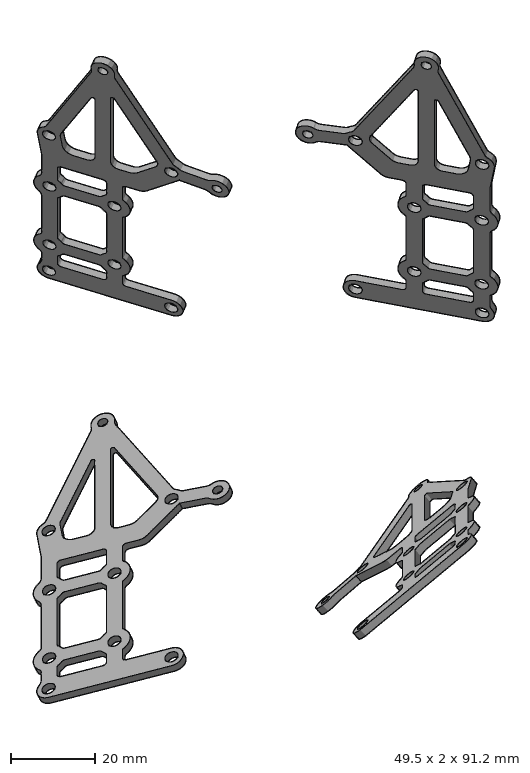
import cadquery as cq
import math

THICKNESS = 2.0
SCREW_HOLE = 3.3
SMALL_HOLE = 2.5

PAD_RADIUS = 3.0
BOSS_RADIUS = 4.0

LINK_WIDTH = 4.0
BEAM_WIDTH = 2 * PAD_RADIUS

RAIL_FILLET = 1.0
PAD_NECK_FILLET = 2.0
UPPER_BOSS_FILLET = 2.0
FOOT_FILLET = 3.0
POCKET_FILLET = 2.0
WIDE_POCKET_FILLET = 3.0
TIP_FILLET = 0.5

FOOT_SPAN = 31.0
SHOULDER_HEIGHT = 53.4
FOOT_LEFT = (0.0, 0.0)
FOOT_RIGHT = (FOOT_SPAN, 0.0)
SHOULDER_LEFT = (0.0, SHOULDER_HEIGHT)
SHOULDER_RIGHT = (FOOT_SPAN, SHOULDER_HEIGHT)
PEAK = (13.65, 85.19)
ARM_END = (42.65, 52.4)

RAIL_SPACING = 16.5
RAIL_LEFT_X = 0.11
RAIL_RIGHT_X = RAIL_LEFT_X + RAIL_SPACING
BOSS_SPACING = 23.0
BOSS_LOW_Z = 10.28
BOSS_HIGH_Z = BOSS_LOW_Z + BOSS_SPACING
BOSSES = [(x, z) for x in (RAIL_LEFT_X, RAIL_RIGHT_X) for z in (BOSS_LOW_Z, BOSS_HIGH_Z)]

BEAM_ABOVE_BOSSES = 12.05
BEAM_Z = BOSS_HIGH_Z + BEAM_ABOVE_BOSSES
BEAM_LEFT = (RAIL_LEFT_X - LINK_WIDTH / 2 + BEAM_WIDTH / 2, BEAM_Z)
BEAM_TURN_X = 22.75
BEAM_RIGHT = (BEAM_TURN_X, BEAM_Z)


def disc(center, radius):
    """Round slice of the plate."""
    return cq.Workplane("XZ").center(*center).circle(radius).extrude(-THICKNESS)


def link(start, end, width):
    """Straight square-ended member whose centre line joins two points."""
    dx = end[0] - start[0]
    dz = end[1] - start[1]
    length = math.hypot(dx, dz)
    across = (-dz / length * width / 2, dx / length * width / 2)
    corners = [
        (start[0] + across[0], start[1] + across[1]),
        (end[0] + across[0], end[1] + across[1]),
        (end[0] - across[0], end[1] - across[1]),
        (start[0] - across[0], start[1] - across[1]),
    ]
    return cq.Workplane("XZ").polyline(corners).close().extrude(-THICKNESS)


def neck_corners(center, radius, target, sides=(1, -1)):
    """Points where the edges of a link towards target leave the disc; side 1 is the link's left."""
    heading = math.atan2(target[1] - center[1], target[0] - center[0])
    spread = math.asin(LINK_WIDTH / 2 / radius)
    angles = [heading + side * spread for side in sides]
    return [(center[0] + radius * math.cos(a), center[1] + radius * math.sin(a)) for a in angles]


def x_on_line(start, end, z):
    """X of the line through two points at height z."""
    return start[0] + (end[0] - start[0]) * (z - start[1]) / (end[1] - start[1])


def z_on_line(start, end, x):
    """Z of the line through two points at position x."""
    return start[1] + (end[1] - start[1]) * (x - start[0]) / (end[0] - start[0])


def drop_below(start, end, distance):
    """Vertical distance from a line to its parallel at the given distance."""
    return distance * math.dist(start, end) / abs(end[0] - start[0])


def shift_beside(start, end, distance):
    """Horizontal distance from a line to its parallel at the given distance."""
    return distance * math.dist(start, end) / abs(end[1] - start[1])


def round_corners(body, points, radius):
    """Fillet the edges through the thickness that lie at the given (X, Z) points."""
    for x, z in points:
        corner = cq.selectors.NearestToPointSelector((x, THICKNESS / 2, z))
        body = body.edges("|Y").edges(corner).fillet(radius)
    return body


def make_blank():
    """All pads and members joined, with sharp corners between them."""
    members = [
        (FOOT_LEFT, FOOT_RIGHT, BEAM_WIDTH),
        (BEAM_LEFT, BEAM_RIGHT, BEAM_WIDTH),
        (BEAM_LEFT, SHOULDER_LEFT, BEAM_WIDTH),
        (BEAM_RIGHT, SHOULDER_RIGHT, BEAM_WIDTH),
        (SHOULDER_LEFT, PEAK, LINK_WIDTH),
        (SHOULDER_RIGHT, PEAK, LINK_WIDTH),
        (SHOULDER_RIGHT, ARM_END, LINK_WIDTH),
        ((PEAK[0], BEAM_Z), PEAK, LINK_WIDTH),
    ]
    for x in (RAIL_LEFT_X, RAIL_RIGHT_X):
        members.append(((x, 0), (x, BEAM_Z), LINK_WIDTH))
    for z in (BOSS_LOW_Z, BOSS_HIGH_Z):
        members.append(((RAIL_LEFT_X, z), (RAIL_RIGHT_X, z), LINK_WIDTH))

    pads = [FOOT_LEFT, FOOT_RIGHT, SHOULDER_LEFT, SHOULDER_RIGHT, PEAK, ARM_END, BEAM_LEFT, BEAM_RIGHT]
    blank = link(*members[0])
    for member in members[1:]:
        blank = blank.union(link(*member))
    for pad in pads:
        blank = blank.union(disc(pad, PAD_RADIUS))
    for boss in BOSSES:
        blank = blank.union(disc(boss, BOSS_RADIUS))
    return blank.clean()


def round_rails(body):
    """Fillets around the bosses and where the rails meet the foot and the beam."""
    half = LINK_WIDTH / 2
    foot_top = PAD_RADIUS
    beam_bottom = BEAM_Z - PAD_RADIUS
    upper_left = (RAIL_LEFT_X, BOSS_HIGH_Z)
    large_corners = neck_corners(upper_left, BOSS_RADIUS, (RAIL_LEFT_X, BEAM_Z), (1,))
    large_corners += neck_corners(upper_left, BOSS_RADIUS, (RAIL_LEFT_X, 0), (-1,))
    body = round_corners(body, large_corners, UPPER_BOSS_FILLET)

    corners = []
    for x, z in BOSSES:
        inward = RAIL_RIGHT_X if x == RAIL_LEFT_X else RAIL_LEFT_X
        corners += neck_corners((x, z), BOSS_RADIUS, (inward, z))
        for target in ((x, BEAM_Z), (x, 0)):
            corners += neck_corners((x, z), BOSS_RADIUS, target)
    corners = [corner for corner in corners if corner not in large_corners]
    for z in (foot_top, beam_bottom):
        corners += [(x, z) for x in (RAIL_LEFT_X + half, RAIL_RIGHT_X - half, RAIL_RIGHT_X + half)]
    body = round_corners(body, corners, RAIL_FILLET)

    rail_edge = RAIL_LEFT_X - half
    foot_corner = (rail_edge, math.sqrt(PAD_RADIUS**2 - rail_edge**2))
    return round_corners(body, [foot_corner], FOOT_FILLET)


def round_pad_necks(body):
    """Fillets where the struts and the arm leave their pads."""
    corners = neck_corners(PEAK, PAD_RADIUS, SHOULDER_LEFT, (-1,))
    corners += neck_corners(PEAK, PAD_RADIUS, SHOULDER_RIGHT, (1,))
    corners += neck_corners(SHOULDER_LEFT, PAD_RADIUS, PEAK)
    corners += neck_corners(SHOULDER_RIGHT, PAD_RADIUS, PEAK)
    corners += neck_corners(ARM_END, PAD_RADIUS, SHOULDER_RIGHT)
    corners += neck_corners(SHOULDER_RIGHT, PAD_RADIUS, ARM_END, (1,))
    return round_corners(body, corners, PAD_NECK_FILLET)


def round_pockets(body):
    """Fillets of the two triangular pockets beside the central spar."""
    half = LINK_WIDTH / 2
    floor = BEAM_Z + PAD_RADIUS
    spar_edges = (PEAK[0] - half, PEAK[0] + half)
    body = round_corners(body, [(x, floor) for x in spar_edges], POCKET_FILLET)

    tips = []
    for x, shoulder in zip(spar_edges, (SHOULDER_LEFT, SHOULDER_RIGHT)):
        drop = drop_below(shoulder, PEAK, half)
        tips.append((x, z_on_line(shoulder, PEAK, x) - drop))
    body = round_corners(body, tips, TIP_FILLET)

    left_shift = shift_beside(BEAM_LEFT, SHOULDER_LEFT, PAD_RADIUS)
    right_shift = shift_beside(BEAM_RIGHT, SHOULDER_RIGHT, PAD_RADIUS)
    outer_corners = [
        (x_on_line(BEAM_LEFT, SHOULDER_LEFT, floor) + left_shift, floor),
        (x_on_line(BEAM_RIGHT, SHOULDER_RIGHT, floor) - right_shift, floor),
    ]
    return round_corners(body, outer_corners, WIDE_POCKET_FILLET)


def drill(body):
    """Mounting holes through the thickness."""
    for center in [FOOT_LEFT, FOOT_RIGHT, SHOULDER_LEFT, SHOULDER_RIGHT] + BOSSES:
        body = body.cut(disc(center, SCREW_HOLE / 2))
    for center in (PEAK, ARM_END):
        body = body.cut(disc(center, SMALL_HOLE / 2))
    return body


plate = make_blank()
plate = round_rails(plate)
plate = round_pad_necks(plate)
plate = round_pockets(plate)
result = drill(plate)